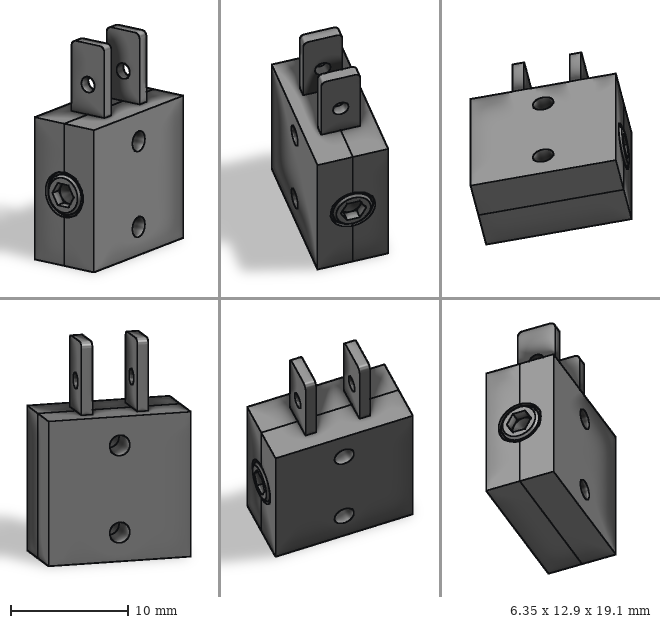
import cadquery as cq
import math

housing_height = 12.7
housing_depth = housing_height
housing_width = housing_height / 2
half_width = housing_width / 2
front_y = -housing_depth / 2
screw_z = housing_height / 2

mount_hole_diameter = 1.8
mount_hole_inset = 2.53

overall_height = 19.05
blade_height = overall_height - housing_height
blade_width = 3.52
blade_thickness = 1.0
blade_spacing = 5.0
blade_corner_radius = 0.5
blade_hole_diameter = 1.4
blade_hole_drop = 3.68

screw_diameter = 3.55
screw_protrusion = 0.17
screw_chamfer = 0.23
screw_embedded_length = 2.85
counterbore_diameter = 4
counterbore_depth = 0.38

socket_across_flats = 1.98
socket_depth = 0.9
cone_tip_angle = 120


def front_cylinder(diameter, depth):
    """Cylinder on the screw axis, running inward from the front face."""
    return cq.Workplane("XZ", origin=(0, front_y, screw_z)).circle(diameter / 2).extrude(-depth)


def make_housing_half(side):
    """Housing half on the +X side (side = 1) or the -X side (side = -1)."""
    half = cq.Workplane("XY").box(half_width, housing_depth, housing_height, centered=(True, True, False))
    half = half.translate((side * half_width / 2, 0, 0))
    mount_holes = (
        cq.Workplane("YZ")
        .pushPoints([(0, mount_hole_inset), (0, housing_height - mount_hole_inset)])
        .circle(mount_hole_diameter / 2)
        .extrude(half_width, both=True)
    )
    half = half.cut(mount_holes)
    half = half.cut(front_cylinder(counterbore_diameter, counterbore_depth))
    return half.cut(front_cylinder(screw_diameter, screw_embedded_length))


def make_blade(y):
    """Terminal blade centred at the given Y, with rounded top corners and a cross hole."""
    blade = cq.Workplane("XY").box(blade_width, blade_thickness, blade_height, centered=(True, True, False))
    blade = blade.edges("|Y and >Z").fillet(blade_corner_radius)
    hole = (
        cq.Workplane("XZ", origin=(0, -blade_thickness / 2, blade_height - blade_hole_drop))
        .circle(blade_hole_diameter / 2)
        .extrude(-blade_thickness)
    )
    return blade.cut(hole).translate((0, y, housing_height))


def make_socket(head_y):
    """Socket shape to cut away: a hexagonal prism ending in a cone that touches the six flats."""
    cone_radius = socket_across_flats / 2
    cone_depth = cone_radius / math.tan(math.radians(cone_tip_angle / 2))
    hexagon_diameter = socket_across_flats / math.cos(math.pi / 6)
    prism = cq.Workplane("XZ", origin=(0, head_y, screw_z)).polygon(6, hexagon_diameter).extrude(-socket_depth)
    floor_centre = cq.Vector(0, head_y + socket_depth, screw_z)
    cone = cq.Solid.makeCone(cone_radius, 0, cone_depth, pnt=floor_centre, dir=cq.Vector(0, 1, 0))
    return prism.union(cq.Workplane(cone))


def make_screw():
    """Set screw with a chamfered front rim and a hexagonal socket."""
    head_y = front_y - screw_protrusion
    screw = (
        cq.Workplane("XZ", origin=(0, head_y, screw_z))
        .circle(screw_diameter / 2)
        .extrude(-(screw_protrusion + screw_embedded_length))
        .faces("<Y")
        .chamfer(screw_chamfer)
    )
    return screw.cut(make_socket(head_y))


housing_halves = [make_housing_half(side) for side in (-1, 1)]
blades = [make_blade(side * blade_spacing / 2) for side in (-1, 1)]
screw = make_screw()

result = cq.Compound.makeCompound([body.val() for body in [*housing_halves, *blades, screw]])